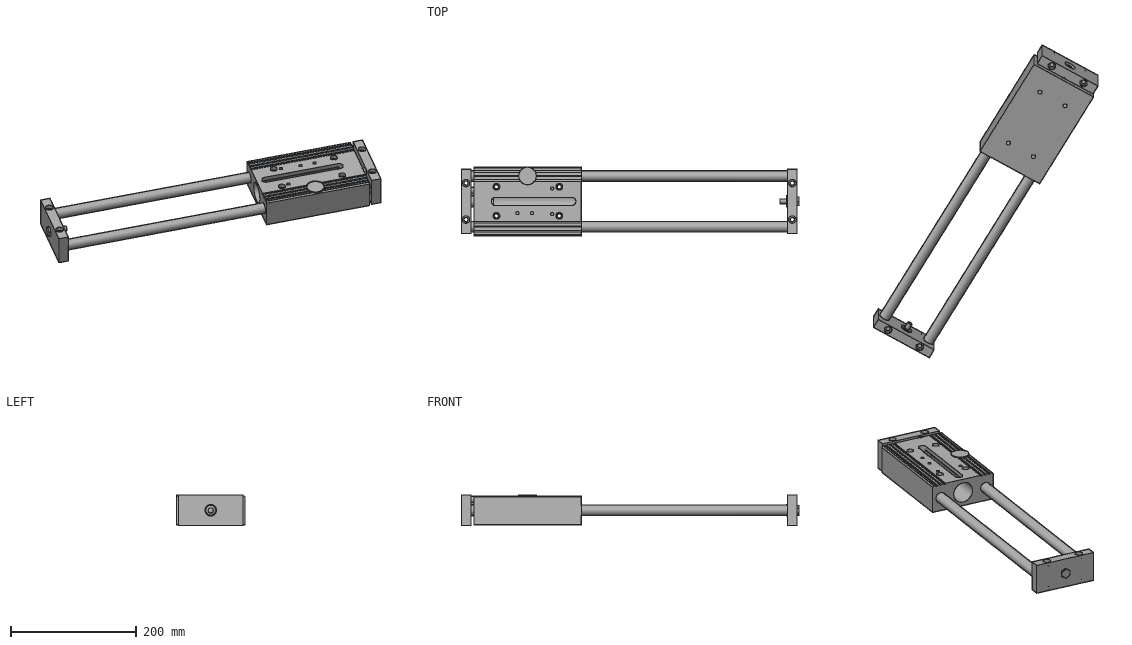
import cadquery as cq

overall_length = 540.0
stop_head_height = 3.0
plate_thickness = 15.5
plate_width = 103.0
plate_height = 49.0
far_plate_outer_x = overall_length - stop_head_height
far_plate_inner_x = far_plate_outer_x - plate_thickness

carriage_start = 20.0
carriage_length = 172.0
carriage_end = carriage_start + carriage_length
carriage_width = 110.0
carriage_height = 46.5
carriage_top = carriage_height / 2
edge_chamfer = 2.0
gap = carriage_start - plate_thickness

rod_diameter = 17.5
rod_offset = 40.5

bolt_hole_diameter = 6.5
plate_counterbore_diameter = 12.0
carriage_counterbore_diameter = 11.0
counterbore_depth = 6.5
plate_bolt_inset = 7.5
plate_bolt_offset = 29.0
carriage_bolt_start = 56.0
carriage_bolt_spacing = 100.5
carriage_bolt_offset = 23.0

pin_hole_diameter = 5.0
pin_hole_depth = 6.5
pin_hole_places = [(145.5, 20.5), (145.5, -20.5), (89.5, -19.0), (113.0, -19.0)]

slot_start = 48.0
slot_length = 135.0
slot_width = 13.0
entry_bore_diameter = 24.0
bore_diameter = 34.0
bore_start = 52.0

groove_inner = 6.0
groove_width = 2.5
groove_depth = 1.5
slit_width = 1.5

cover_diameter = 28.0
cover_x = 106.0
cover_height = plate_height / 2 - carriage_top

collar_diameter = 18.5
collar_thickness = 1.5
stud_diameter = 8.0
stud_length = 12.0
head_corner_diameter = 16.0
hexagon_sides = 6
hexagon_turn = 90
recess_depth = 4.5
tip_base_diameter = 16.0
tip_height = 2.5

stop_pin_diameter = 11.0
stop_pin_offset = 17.5


def cylinder_x(diameter, start, length, y=0.0, z=0.0):
    """A cylinder along +X that begins at `start`."""
    return cq.Workplane("YZ", origin=(start, y, z)).circle(diameter / 2).extrude(length)


def cylinder_z(diameter, x, y, bottom, height):
    """An upright cylinder that begins at Z = `bottom`."""
    return cq.Workplane("XY", origin=(x, y, bottom)).circle(diameter / 2).extrude(height)


def box_from(start, length, width, height):
    """A block along X, centred on the axis in Y and Z."""
    return cq.Workplane("XY").box(length, width, height, centered=(False, True, True)).translate((start, 0, 0))


def end_plate(start, bolt_x):
    """An end plate with two vertical bolt holes, counterbored from above and below."""
    plate = box_from(start, plate_thickness, plate_width, plate_height)
    bottom = -plate_height / 2
    for y in (-plate_bolt_offset, plate_bolt_offset):
        plate = plate.cut(cylinder_z(bolt_hole_diameter, bolt_x, y, bottom, plate_height))
        for level in (bottom, plate_height / 2 - counterbore_depth):
            plate = plate.cut(cylinder_z(plate_counterbore_diameter, bolt_x, y, level, counterbore_depth))
    return plate


def near_stop_tip():
    """The conical screw tip that stands in the recess of the near plate."""
    return (
        cq.Workplane("YZ", origin=(recess_depth, 0, 0))
        .circle(tip_base_diameter / 2)
        .workplane(offset=-tip_height)
        .circle(stud_diameter / 2)
        .loft(combine=True)
    )


def far_stop():
    """The collar and stud on the inner side of the far plate, and the hexagon head on its outer side."""
    collar = cylinder_x(collar_diameter, far_plate_inner_x - collar_thickness, collar_thickness)
    stud = cylinder_x(stud_diameter, far_plate_inner_x - stud_length, stud_length)
    head = (
        cq.Workplane("YZ", origin=(far_plate_outer_x, 0, 0))
        .transformed(rotate=(0, 0, hexagon_turn))
        .polygon(hexagon_sides, head_corner_diameter)
        .extrude(stop_head_height)
    )
    return collar.union(stud).union(head)


def make_frame():
    """Both end plates, the guide rods that join them, and the end stops."""
    frame = end_plate(0, plate_bolt_inset)
    frame = frame.cut(cylinder_x(collar_diameter, 0, recess_depth)).union(near_stop_tip())
    frame = frame.union(end_plate(far_plate_inner_x, far_plate_outer_x - plate_thickness / 2))
    rod_length = far_plate_inner_x - plate_thickness
    for y in (-rod_offset, rod_offset):
        frame = frame.union(cylinder_x(rod_diameter, plate_thickness, rod_length, y))
    frame = frame.union(cylinder_x(collar_diameter, plate_thickness, gap))
    frame = frame.union(cylinder_x(stop_pin_diameter, plate_thickness, gap, stop_pin_offset, stop_pin_offset))
    return frame.union(far_stop())


def top_groove(y, width):
    """The space of a groove along the whole carriage top, centred at `y`."""
    return box_from(carriage_start, carriage_length, width, 2 * groove_depth).translate((0, y, carriage_top))


def make_carriage():
    """The sliding block on the two rods."""
    carriage = box_from(carriage_start, carriage_length, carriage_width, carriage_height)
    carriage = carriage.edges("|X and >Z").chamfer(edge_chamfer)

    for rod_y in (-rod_offset, rod_offset):
        carriage = carriage.cut(cylinder_x(rod_diameter, carriage_start, carriage_length, rod_y))
        carriage = carriage.cut(top_groove(rod_y, slit_width))
        for side in (-1, 1):
            groove_y = rod_y + side * (groove_inner + groove_width / 2)
            carriage = carriage.cut(top_groove(groove_y, groove_width))

    carriage = carriage.cut(cylinder_x(entry_bore_diameter, carriage_start, bore_start - carriage_start))
    carriage = carriage.cut(cylinder_x(bore_diameter, bore_start, carriage_end - bore_start))
    slot = (
        cq.Workplane("XY", origin=(slot_start + slot_length / 2, 0, 0))
        .slot2D(slot_length, slot_width)
        .extrude(carriage_top)
    )
    carriage = carriage.cut(slot)

    for x in (carriage_bolt_start, carriage_bolt_start + carriage_bolt_spacing):
        for y in (-carriage_bolt_offset, carriage_bolt_offset):
            carriage = carriage.cut(cylinder_z(bolt_hole_diameter, x, y, -carriage_top, carriage_height))
            floor = carriage_top - counterbore_depth
            carriage = carriage.cut(cylinder_z(carriage_counterbore_diameter, x, y, floor, counterbore_depth))

    for x, y in pin_hole_places:
        floor = carriage_top - pin_hole_depth
        carriage = carriage.cut(cylinder_z(pin_hole_diameter, x, y, floor, pin_hole_depth))

    cover_base = carriage_top - groove_depth
    cover = cylinder_z(cover_diameter, cover_x, rod_offset, cover_base, groove_depth + cover_height)
    return carriage.union(cover)


frame = make_frame()
carriage = make_carriage()
result = cq.Compound.makeCompound([frame.val(), carriage.val()])